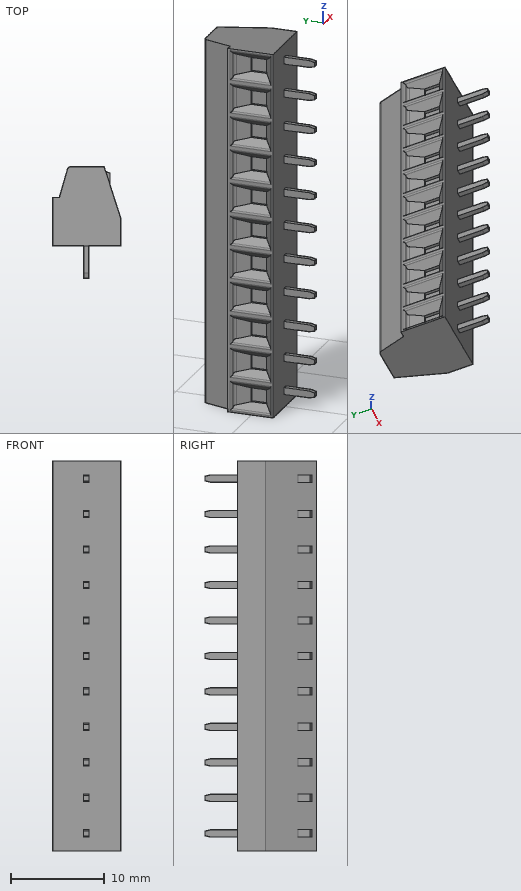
import cadquery as cq
import math


POLE_COUNT = 11
PITCH = 3.81
ROW_LENGTH = POLE_COUNT * PITCH

BODY_WIDTH = 7.3
BODY_HEIGHT = 8.5
LEDGE_HEIGHT = 5.2
LEDGE_WIDTH = 0.7
CROWN_LEFT = 1.65
CROWN_RIGHT = 5.52
CROWN_ROUND = 0.4
BACK_WALL_HEIGHT = 3.0

PIN_LENGTH = 3.5
PIN_THICKNESS = 0.55
PIN_BREADTH = 0.8
PIN_TIP_BREADTH = 0.5
PIN_TIP_LENGTH = 0.6
PIN_CENTER_X = 3.6
PIN_ROOT = 0.5

ENTRY_BOTTOM = 0.25
ENTRY_TOP = 4.93
ROUND_RADIUS = 0.25
COVE_RADIUS = 0.28
THROAT_BOTTOM = 1.12
THROAT_TOP = 2.9
THROAT_DEPTH = 1.04
FLOOR_DEPTH = 1.35
ENTRY_HALF_BREADTH = 1.57
THROAT_HALF_BREADTH = 0.8

RIB_BREADTH = 0.8
RIB_FACE_X = 6.16
RIB_TOP = 7.98
RIB_CORNER_Y = 7.8


def back_slope_x(y):
    """X of the sloped back at height y."""
    run = (BODY_WIDTH - CROWN_RIGHT) / (BODY_HEIGHT - BACK_WALL_HEIGHT)
    return CROWN_RIGHT + (BODY_HEIGHT - y) * run


def make_housing():
    outline = [
        (0, 0),
        (BODY_WIDTH, 0),
        (BODY_WIDTH, BACK_WALL_HEIGHT),
        (CROWN_RIGHT, BODY_HEIGHT),
        (CROWN_LEFT, BODY_HEIGHT),
        (LEDGE_WIDTH, LEDGE_HEIGHT),
        (0, LEDGE_HEIGHT),
    ]
    housing = cq.Workplane("XY").polyline(outline).close().extrude(ROW_LENGTH)
    crown_edge = cq.NearestToPointSelector((CROWN_LEFT, BODY_HEIGHT, ROW_LENGTH / 2))
    return housing.edges(crown_edge).fillet(CROWN_ROUND)


def entry_side_profile():
    """Funnel in the XY plane: slope, throat, sloped floor, cove and rounded top edge."""
    cove_end = (ROUND_RADIUS + COVE_RADIUS, ENTRY_TOP - ROUND_RADIUS - COVE_RADIUS)
    round_end = (ROUND_RADIUS, ENTRY_TOP - ROUND_RADIUS)
    return (
        cq.Workplane("XY")
        .moveTo(0, ENTRY_TOP)
        .lineTo(0, ENTRY_BOTTOM)
        .lineTo(THROAT_DEPTH, THROAT_BOTTOM)
        .lineTo(FLOOR_DEPTH, THROAT_BOTTOM)
        .lineTo(FLOOR_DEPTH, THROAT_TOP)
        .lineTo(THROAT_DEPTH, THROAT_TOP)
        .lineTo(*cove_end)
        .radiusArc(round_end, -COVE_RADIUS)
        .radiusArc((0, ENTRY_TOP), ROUND_RADIUS)
        .close()
    )


def entry_row_profile():
    """Funnel in the XZ plane, symmetric about the pole, with mouth edges rounded tangentially."""
    slope = math.atan2(ENTRY_HALF_BREADTH - THROAT_HALF_BREADTH, THROAT_DEPTH)
    tangent = ROUND_RADIUS * math.tan((math.pi / 2 - slope) / 2)
    mouth_z = ENTRY_HALF_BREADTH + tangent
    round_x = tangent * math.cos(slope)
    round_z = ENTRY_HALF_BREADTH - tangent * math.sin(slope)
    return (
        cq.Workplane("XZ")
        .moveTo(0, -mouth_z)
        .lineTo(0, mouth_z)
        .radiusArc((round_x, round_z), -ROUND_RADIUS)
        .lineTo(THROAT_DEPTH, THROAT_HALF_BREADTH)
        .lineTo(FLOOR_DEPTH, THROAT_HALF_BREADTH)
        .lineTo(FLOOR_DEPTH, -THROAT_HALF_BREADTH)
        .lineTo(THROAT_DEPTH, -THROAT_HALF_BREADTH)
        .lineTo(round_x, -round_z)
        .radiusArc((0, -mouth_z), -ROUND_RADIUS)
        .close()
    )


def make_entry(z):
    """Cutter for one wire entry: its side profile crossed with its profile along the row."""
    side = entry_side_profile().extrude(PITCH / 2, both=True)
    row = entry_row_profile().extrude(-BODY_HEIGHT)
    return side.intersect(row).translate((0, 0, z))


def make_pin(z):
    """Flat pin with a tip tapered along the row."""
    half = PIN_BREADTH / 2
    half_tip = PIN_TIP_BREADTH / 2
    taper_start = PIN_TIP_LENGTH - PIN_LENGTH
    outline = [
        (PIN_ROOT, half),
        (taper_start, half),
        (-PIN_LENGTH, half_tip),
        (-PIN_LENGTH, -half_tip),
        (taper_start, -half),
        (PIN_ROOT, -half),
    ]
    pin = cq.Workplane("YZ").polyline(outline).close().extrude(PIN_THICKNESS / 2, both=True)
    return pin.translate((PIN_CENTER_X, 0, z))


def make_rib(z):
    """Low rib whose face stands upright in front of the sloped back."""
    outline = [
        (CROWN_RIGHT, RIB_TOP),
        (back_slope_x(RIB_TOP), RIB_TOP),
        (RIB_FACE_X, RIB_CORNER_Y),
        (RIB_FACE_X, BACK_WALL_HEIGHT),
        (CROWN_RIGHT, BACK_WALL_HEIGHT),
    ]
    rib = cq.Workplane("XY").polyline(outline).close().extrude(RIB_BREADTH / 2, both=True)
    return rib.translate((0, 0, z))


result = make_housing()
for pole in range(POLE_COUNT):
    pole_z = (pole + 0.5) * PITCH
    result = result.cut(make_entry(pole_z)).union(make_pin(pole_z)).union(make_rib(pole_z))